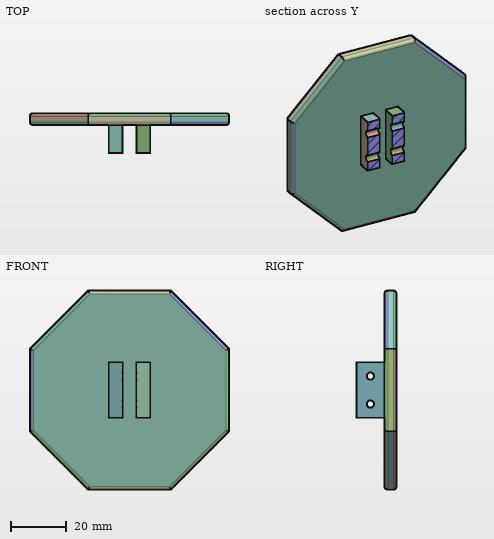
import cadquery as cq
import math

side_count = 8
plate_width = 71.6
plate_thickness = 4.4
edge_radius = 1.2

lug_width = 5.0
lug_gap = 5.0
lug_depth = 10.0
lug_height = 20.05
hole_diameter = 2.5
hole_spacing = 10.0


def make_plate():
    """Octagon with flats on X and Z, rounded along both rims."""
    half_side_angle = 180 / side_count
    corner_diameter = plate_width / math.cos(math.pi / side_count)
    plate = (
        cq.Workplane("XZ")
        .transformed(rotate=(0, 0, half_side_angle))
        .polygon(side_count, corner_diameter)
        .extrude(-plate_thickness)
    )
    return plate.faces("<Y or >Y").edges().fillet(edge_radius)


def make_lug(center_x):
    """Rectangular lug with two cross holes along X."""
    lug = cq.Workplane("XY").box(lug_width, lug_depth, lug_height)
    lug = (
        lug.faces(">X")
        .workplane()
        .rarray(0.7, hole_spacing, 1, 2)
        .hole(hole_diameter)
    )
    return lug.translate((center_x, -lug_depth / 2, 0))


result = make_plate()
for side in (-1, 1):
    result = result.union(make_lug(side * (lug_gap + lug_width) / 2))